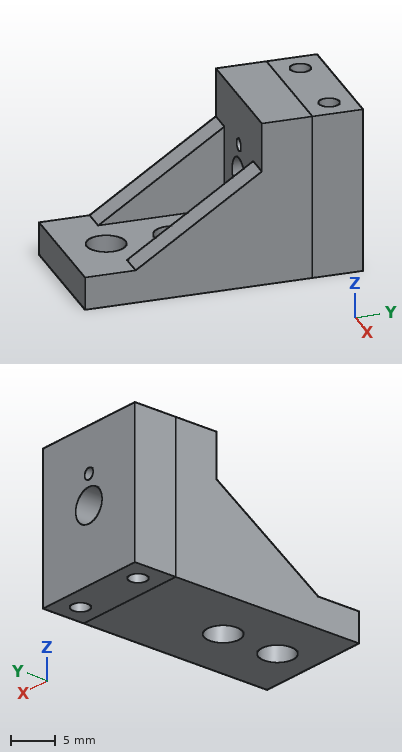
import cadquery as cq

width = 16.0
length = 33.0
height = 19.9

plate_thickness = 6.0
joint_y = length - plate_thickness
upright_front_y = joint_y - plate_thickness

base_thickness = 4.0
gusset_thickness = 3.0
gusset_front_y = 6.0
gusset_top_z = 14.0

bore_diameter = 4.6
bore_z = height / 2
pilot_diameter = 1.5
pilot_z = 13.9

base_hole_diameter = 4.6
first_base_hole_y = 5.25
base_hole_spacing = 8.0
plate_hole_diameter = 2.4
plate_hole_spacing = 10.0
plate_hole_y = length - plate_thickness / 2


def block(y_start, y_end, block_height):
    """Full-width block standing on Z = 0."""
    return cq.Workplane("XY").box(
        width, y_end - y_start, block_height, centered=(True, False, False)
    ).translate((0, y_start, 0))


def vertical_hole(x, y, diameter):
    """Cutter for a hole along Z through the full height."""
    return cq.Workplane("XY").center(x, y).circle(diameter / 2).extrude(height)


def lengthwise_hole(z, diameter):
    """Cutter for a hole along Y through the full length."""
    return cq.Workplane("XZ").center(0, z).circle(diameter / 2).extrude(-length)


def gusset(x_start):
    """Triangular side rib joining the base to the upright."""
    return (
        cq.Workplane("YZ", origin=(x_start, 0, 0))
        .moveTo(gusset_front_y, base_thickness)
        .lineTo(upright_front_y, base_thickness)
        .lineTo(upright_front_y, gusset_top_z)
        .close()
        .extrude(gusset_thickness)
    )


def cut_lengthwise_holes(body):
    """Cut the large bore and the pilot hole above it."""
    body = body.cut(lengthwise_hole(bore_z, bore_diameter), clean=False)
    return body.cut(lengthwise_hole(pilot_z, pilot_diameter), clean=False)


def make_bracket():
    """Base with two gussets and the front upright."""
    foot = block(0, upright_front_y, base_thickness)
    for x_start in (-width / 2, width / 2 - gusset_thickness):
        foot = foot.union(gusset(x_start))
    foot = foot.clean()
    bracket = foot.union(block(upright_front_y, joint_y, height), clean=False)
    bracket = cut_lengthwise_holes(bracket)
    for index in range(2):
        hole_y = first_base_hole_y + index * base_hole_spacing
        bracket = bracket.cut(vertical_hole(0, hole_y, base_hole_diameter), clean=False)
    return bracket


def make_back_plate():
    """Rear plate with two vertical holes, flush with the bracket's upright."""
    plate = block(joint_y, length, height)
    plate = cut_lengthwise_holes(plate)
    for side in (-1, 1):
        hole_x = side * plate_hole_spacing / 2
        plate = plate.cut(vertical_hole(hole_x, plate_hole_y, plate_hole_diameter))
    return plate


bracket = make_bracket()
back_plate = make_back_plate()

result = cq.Compound.makeCompound([bracket.val(), back_plate.val()])